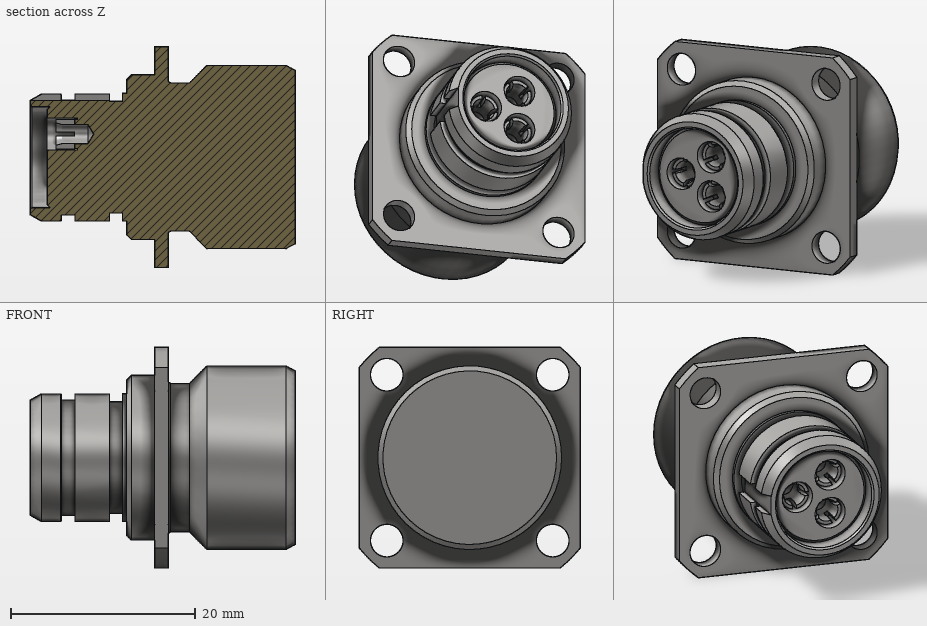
import cadquery as cq
import math

length = 28.8
barrel_r = 6.95
ring_r = 8.95
neck_r = 8.05
cap_r = 9.96

barrel_groove_start = 3.4
barrel_groove_end = 4.87
barrel_end = 8.65
step_start = 10.02
ring_start = 10.48
flange_start = 13.5
flange_thickness = 1.5
neck_end = 17.3
cap_start = 19.18

tip_chamfer_length = 1.25
tip_chamfer_depth = 0.7
barrel_groove_r = 6.28
barrel_edge_break = 0.1
relief_r = 6.08
ring_chamfer = 0.52
neck_chamfer_length = 0.25
neck_chamfer_depth = 0.17
cap_chamfer_length = 1.05
cap_chamfer_depth = 0.55

flange_side = 24.0
flange_corner_r = 15.5
mount_hole_pitch = 18.0
mount_hole_d = 3.5

keyway_width = 2.13
keyway_floor_y = 6.15

bore_r = 5.47
bore_chamfer = 0.2
insert_face = 1.85
insert_chamfer = 0.32

contact_circle_r = 2.5
contact_positions = [(180, 0), (60, 30), (-60, 30)]
contact_hole_r = 1.73
contact_recess = 0.98
contact_gap_depth = 2.3
contact_r = 1.6
contact_bore_r = 1.05
contact_lead_in_length = 0.7
contact_lead_in_depth = 0.2
contact_bore_depth = 3.45
drill_point_angle = 118
contact_slot_width = 0.43
contact_slot_depth = 2.02

flange_end = flange_start + flange_thickness
contact_face = insert_face + contact_recess


def revolve_about_x(points):
    """Solid of revolution about X from (x, radius) points that start and end on the axis."""
    return cq.Workplane("XY").polyline(points).close().revolve(360, (0, 0, 0), (1, 0, 0))


def make_shell():
    return revolve_about_x([
        (0, 0),
        (0, barrel_r - tip_chamfer_depth),
        (tip_chamfer_length, barrel_r),
        (barrel_groove_start - barrel_edge_break, barrel_r),
        (barrel_groove_start, barrel_r - barrel_edge_break),
        (barrel_groove_start, barrel_groove_r),
        (barrel_groove_end, barrel_groove_r),
        (barrel_groove_end, barrel_r),
        (barrel_end, barrel_r),
        (barrel_end, relief_r),
        (step_start, relief_r),
        (step_start, barrel_r),
        (ring_start, barrel_r),
        (ring_start, ring_r - ring_chamfer),
        (ring_start + ring_chamfer, ring_r),
        (flange_end, ring_r),
        (flange_end, neck_r + neck_chamfer_depth),
        (flange_end + neck_chamfer_length, neck_r),
        (neck_end, neck_r),
        (cap_start, cap_r),
        (length - cap_chamfer_length, cap_r),
        (length, cap_r - cap_chamfer_depth),
        (length, 0),
    ])


def make_flange():
    plane = cq.Workplane("YZ", origin=(flange_start, 0, 0))
    plate = plane.rect(flange_side, flange_side).extrude(flange_thickness)
    corner_trim = plane.circle(flange_corner_r).extrude(flange_thickness)
    mount_holes = (
        plane.rect(mount_hole_pitch, mount_hole_pitch, forConstruction=True)
        .vertices()
        .circle(mount_hole_d / 2)
        .extrude(flange_thickness)
    )
    return plate.intersect(corner_trim).cut(mount_holes)


def make_keyway():
    keyway_height = barrel_r - keyway_floor_y
    return cq.Workplane("XY").box(
        step_start, keyway_height, keyway_width, centered=(False, False, True)
    ).translate((0, keyway_floor_y, 0))


def make_front_bore():
    """Chamfered bore whose floor leaves a chamfered edge around the insert face."""
    return revolve_about_x([
        (0, 0),
        (0, bore_r + bore_chamfer),
        (bore_chamfer, bore_r),
        (insert_face + insert_chamfer, bore_r),
        (insert_face, bore_r - insert_chamfer),
        (insert_face, 0),
    ])


def make_contact_cavity():
    """Recess, gap around the contact and tapered, drilled bore of one contact, centred on X."""
    gap_end = contact_face + contact_gap_depth
    bore_end = contact_face + contact_bore_depth
    drill_tip = bore_end + contact_bore_r / math.tan(math.radians(drill_point_angle / 2))
    return revolve_about_x([
        (insert_face, 0),
        (insert_face, contact_hole_r),
        (gap_end, contact_hole_r),
        (gap_end, contact_r),
        (contact_face, contact_r),
        (contact_face, contact_bore_r + contact_lead_in_depth),
        (contact_face + contact_lead_in_length, contact_bore_r),
        (bore_end, contact_bore_r),
        (drill_tip, 0),
    ])


def make_contact_slots():
    """Cross slots through the contact wall, ending inside the gap around the contact."""
    slot_reach = (contact_r + contact_hole_r) / 2
    plane = cq.Workplane("YZ", origin=(contact_face, 0, 0))
    cross = plane.rect(2 * slot_reach, contact_slot_width).extrude(contact_slot_depth)
    cross = cross.union(plane.rect(contact_slot_width, 2 * slot_reach).extrude(contact_slot_depth))
    return cross.intersect(plane.circle(slot_reach).extrude(contact_slot_depth))


result = make_shell().union(make_flange()).cut(make_keyway()).cut(make_front_bore())

contact_cut = make_contact_cavity()
slot_cut = make_contact_slots()
for position_angle, slot_turn in contact_positions:
    angle = math.radians(position_angle)
    centre = (0, -contact_circle_r * math.cos(angle), contact_circle_r * math.sin(angle))
    turned_slots = slot_cut.rotate((0, 0, 0), (1, 0, 0), -slot_turn)
    result = result.cut(contact_cut.translate(centre)).cut(turned_slots.translate(centre))